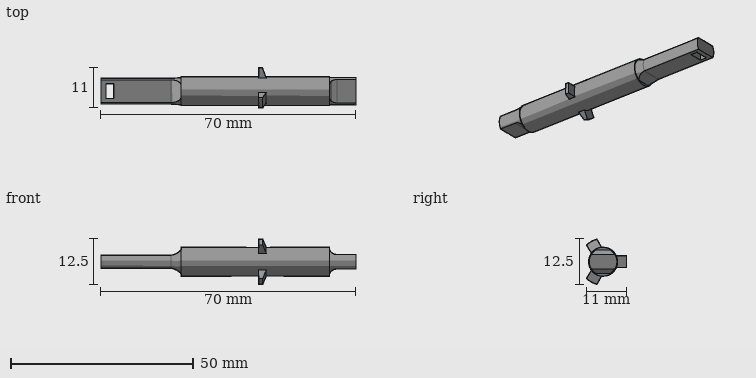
import cadquery as cq

length = 70.0
body_start = 22.0
body_end = 62.7
body_radius = 4.0

long_tang_radius = 3.6
long_tang_half_thickness = 1.8
long_tang_end = 19.2
long_neck_radius = 3.8
long_neck_half_height = 3.3
long_neck_bend = (20.85, 2.4)

short_tang_radius = 3.8
short_tang_half_thickness = 2.0
short_tang_start = 64.75
short_neck_half_height = 3.2
short_neck_bend = (63.3, 2.5)

slot_start = 1.5
slot_length = 2.0
slot_width = 4.0

fin_start = 43.25
fin_base_length = 1.95
fin_tip_length = 1.05
fin_width = 3.3
flat_fin_reach = 6.45
round_fin_radius = 6.45
flat_fin_angle = 0
round_fin_angles = (120, 240)


def round_bar(start, end, radius):
    """Cylinder along X between two positions."""
    return cq.Workplane("YZ").workplane(offset=start).circle(radius).extrude(end - start)


def flats(outer_x, tang_x, body_x, half_thickness, neck_half_height, bend):
    """Slab with parallel flats that flare up to the body along concave arcs."""
    bend_x, bend_z = bend
    return (
        cq.Workplane("XZ")
        .moveTo(outer_x, half_thickness)
        .lineTo(tang_x, half_thickness)
        .threePointArc((bend_x, bend_z), (body_x, neck_half_height))
        .lineTo(body_x, -neck_half_height)
        .threePointArc((bend_x, -bend_z), (tang_x, -half_thickness))
        .lineTo(outer_x, -half_thickness)
        .close()
        .extrude(body_radius, both=True)
    )


def long_tang():
    """Long tang whose rounded sides widen slightly at the neck."""
    blank = (
        cq.Workplane("XY")
        .lineTo(0, long_tang_radius)
        .lineTo(long_tang_end, long_tang_radius)
        .lineTo(body_start, long_neck_radius)
        .lineTo(body_start, 0)
        .close()
        .revolve(360, (0, 0, 0), (1, 0, 0))
    )
    tang = blank.intersect(
        flats(0, long_tang_end, body_start, long_tang_half_thickness,
              long_neck_half_height, long_neck_bend)
    )
    slot = (
        cq.Workplane("XY")
        .center(slot_start + slot_length / 2, 0)
        .rect(slot_length, slot_width)
        .extrude(body_radius, both=True)
    )
    return tang.cut(slot)


def short_tang():
    """Short tang with rounded sides and flared flats."""
    return round_bar(body_end, length, short_tang_radius).intersect(
        flats(length, short_tang_start, body_end, short_tang_half_thickness,
              short_neck_half_height, short_neck_bend)
    )


def fin(reach, angle):
    """Fin rooted on the axis, with a square front and a sloped back, turned about X from +Y."""
    slope = (fin_base_length - fin_tip_length) / (flat_fin_reach - body_radius)
    root_length = fin_base_length + slope * body_radius
    tip_length = fin_base_length - slope * (reach - body_radius)
    return (
        cq.Workplane("XY")
        .moveTo(fin_start, 0)
        .lineTo(fin_start, reach)
        .lineTo(fin_start + tip_length, reach)
        .lineTo(fin_start + root_length, 0)
        .close()
        .extrude(fin_width / 2, both=True)
        .rotate((0, 0, 0), (1, 0, 0), angle)
    )


result = round_bar(body_start, body_end, body_radius)
result = result.union(long_tang()).union(short_tang())
result = result.union(fin(flat_fin_reach, flat_fin_angle))
fin_envelope = round_bar(body_start, body_end, round_fin_radius)
for fin_angle in round_fin_angles:
    result = result.union(fin(round_fin_radius, fin_angle).intersect(fin_envelope))